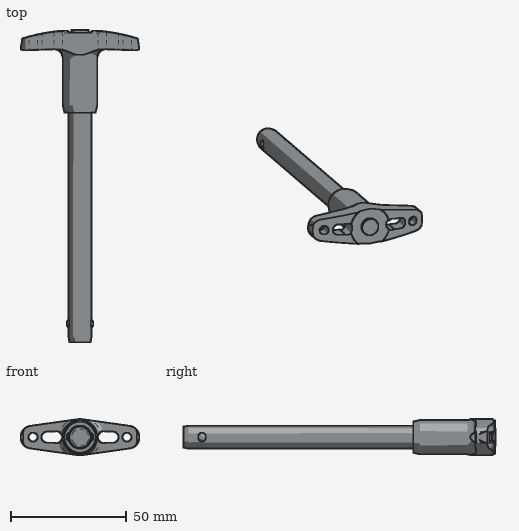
import cadquery as cq
import math


total_length = 135.4
shank_length = 99.6
handle_span = 51.5
handle_width = 15.79
head_top = total_length - shank_length

shank_radius = 5.0
tip_radius = 4.6
tip_length = 2.2
ball_radius = 2.1
ball_reach = 5.85
ball_to_tip = 8.1

collar_radius = 7.5
collar_taper_radius = 7.1
collar_end_radius = 6.75
collar_taper_start = 3.0
collar_taper_end = 1.3

hub_radius = handle_width / 2
end_radius = 5.0
end_offset = handle_span / 2 - end_radius

crown_rise = 0.15
crown_arc_radius = 84.0
rim_top_radius = 25.1
rim_bottom_radius = 25.85
rim_bottom_depth = 8.9
rim_chamfer_width = 1.2
rim_chamfer_height = 0.55
underside_inner_depth = 8.4
neck_fillet_radius = 4.1

recess_radius = 8.9
recess_depth = 1.3
recess_corner_radius = 1.0
button_radius = 3.7

end_hole_diameter = 3.8
end_hole_x = 20.35
slot_width = 4.7
slot_outer_x = 14.3
relief_diameter = 5.1
relief_x = 10.3


def crown_height(radius):
    """Y of the domed handle top at a distance from the pin axis."""
    drop = crown_arc_radius - math.sqrt(crown_arc_radius**2 - radius**2)
    return head_top + crown_rise - drop


def turned(profile):
    """Revolve a half profile (radius, Y) about the pin axis."""
    return profile.close().revolve(360, (0, 0, 0), (0, 1, 0))


def along_pin_axis(profile):
    """Extrude an XZ outline from the shoulder to just past the handle top."""
    return profile.extrude(-(head_top + crown_rise))


def make_pin():
    """Shank with a tapered tip, and the stepped collar up to the handle."""
    collar_top = head_top - rim_bottom_depth
    return turned(
        cq.Workplane("XY")
        .moveTo(0, -shank_length)
        .lineTo(tip_radius, -shank_length)
        .lineTo(shank_radius, tip_length - shank_length)
        .lineTo(shank_radius, 0)
        .lineTo(collar_end_radius, 0)
        .lineTo(collar_taper_radius, collar_taper_end)
        .lineTo(collar_radius, collar_taper_start)
        .lineTo(collar_radius, collar_top)
        .lineTo(0, collar_top)
    )


def make_handle_outline():
    """Prism whose outline wraps the hub circle and both end circles."""
    lean = (hub_radius - end_radius) / end_offset
    rise = math.sqrt(1 - lean**2)
    hub_x, hub_z = hub_radius * lean, hub_radius * rise
    end_x, end_z = end_offset + end_radius * lean, end_radius * rise
    half_span = handle_span / 2
    return along_pin_axis(
        cq.Workplane("XZ")
        .moveTo(-hub_x, hub_z)
        .threePointArc((0, hub_radius), (hub_x, hub_z))
        .lineTo(end_x, end_z)
        .threePointArc((half_span, 0), (end_x, -end_z))
        .lineTo(hub_x, -hub_z)
        .threePointArc((0, -hub_radius), (-hub_x, -hub_z))
        .lineTo(-end_x, -end_z)
        .threePointArc((-half_span, 0), (-end_x, end_z))
        .close()
    )


def make_turned_head():
    """Domed head with a coned and chamfered rim, a recessed button and a flared neck."""
    rim_bottom = head_top - rim_bottom_depth
    underside = head_top - underside_inner_depth
    flare_radius = collar_radius + neck_fillet_radius
    neck_start = underside - neck_fillet_radius
    diagonal = neck_fillet_radius * math.sqrt(0.5)
    flare_middle = (flare_radius - diagonal, neck_start + diagonal)

    floor = head_top - recess_depth
    corner_radius_start = recess_radius - recess_corner_radius
    corner_shift = recess_corner_radius * math.sqrt(0.5)
    corner_middle = (corner_radius_start + corner_shift, floor + recess_corner_radius - corner_shift)

    dome_middle_radius = (recess_radius + rim_top_radius) / 2
    return turned(
        cq.Workplane("XY")
        .moveTo(0, neck_start)
        .lineTo(collar_radius, neck_start)
        .threePointArc(flare_middle, (flare_radius, underside))
        .lineTo(rim_bottom_radius - rim_chamfer_width, rim_bottom)
        .lineTo(rim_bottom_radius, rim_bottom + rim_chamfer_height)
        .lineTo(rim_top_radius, crown_height(rim_top_radius))
        .threePointArc(
            (dome_middle_radius, crown_height(dome_middle_radius)),
            (recess_radius, crown_height(recess_radius)),
        )
        .lineTo(recess_radius, floor + recess_corner_radius)
        .threePointArc(corner_middle, (corner_radius_start, floor))
        .lineTo(button_radius, floor)
        .lineTo(button_radius, head_top)
        .lineTo(0, head_top)
    )


def make_opening(side):
    """End hole, slot and wider relief at the slot's inner end on one side."""
    hole = along_pin_axis(cq.Workplane("XZ").center(side * end_hole_x, 0).circle(end_hole_diameter / 2))
    slot_length = slot_outer_x - relief_x + slot_width
    slot_center = (slot_outer_x + relief_x) / 2
    slot = along_pin_axis(cq.Workplane("XZ").center(side * slot_center, 0).slot2D(slot_length, slot_width))
    relief = along_pin_axis(cq.Workplane("XZ").center(side * relief_x, 0).circle(relief_diameter / 2))
    return hole.union(slot).union(relief)


def make_ball(side):
    """Locking ball standing proud of the shank near its tip."""
    ball_center = (side * (ball_reach - ball_radius), ball_to_tip - shank_length, 0)
    return cq.Workplane("XY").sphere(ball_radius).translate(ball_center)


handle = make_turned_head().intersect(make_handle_outline())
for side in (-1, 1):
    handle = handle.cut(make_opening(side))

result = make_pin().union(handle)
for side in (-1, 1):
    result = result.union(make_ball(side))